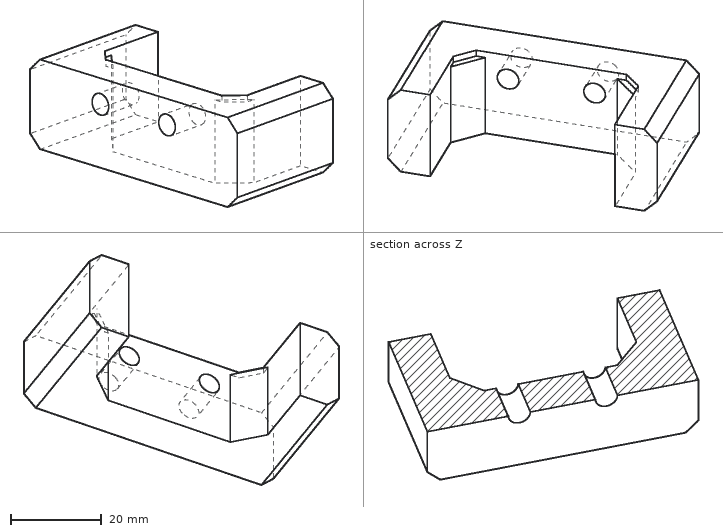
import cadquery as cq

length = 62.25
depth = 31.05
height = 21.0

wall = 9.8
edge_chamfer = 3.0
inner_width = length - 2 * wall
wall_inner_y = -depth / 2 + wall

upper_gusset_leg = 4.0
lower_gusset_leg = 6.1
ledge_drop = 1.5

hole_diameter = 5.0
hole_spacing = 20.0
hole_drop = 6.1


def corner_gusset(side, leg, gusset_height):
    """Triangular prism in an inner corner, standing on the bottom face; side is -1 or 1."""
    corner_x = side * inner_width / 2
    return (
        cq.Workplane("XY", origin=(0, 0, -height / 2))
        .moveTo(corner_x, wall_inner_y)
        .lineTo(corner_x - side * leg, wall_inner_y)
        .lineTo(corner_x, wall_inner_y + leg)
        .close()
        .extrude(gusset_height)
    )


body = cq.Workplane("XY").box(length, depth, height).edges("|Y").chamfer(edge_chamfer)

opening = (
    cq.Workplane("XY")
    .box(inner_width, depth, height)
    .translate((0, wall, 0))
)
body = body.cut(opening)

for side in (-1, 1):
    body = body.union(corner_gusset(side, upper_gusset_leg, height))
    body = body.union(corner_gusset(side, lower_gusset_leg, height - ledge_drop))

holes = (
    cq.Workplane("XZ", origin=(0, -depth / 2, height / 2 - hole_drop))
    .pushPoints([(-hole_spacing / 2, 0), (hole_spacing / 2, 0)])
    .circle(hole_diameter / 2)
    .extrude(-wall)
)

result = body.cut(holes)